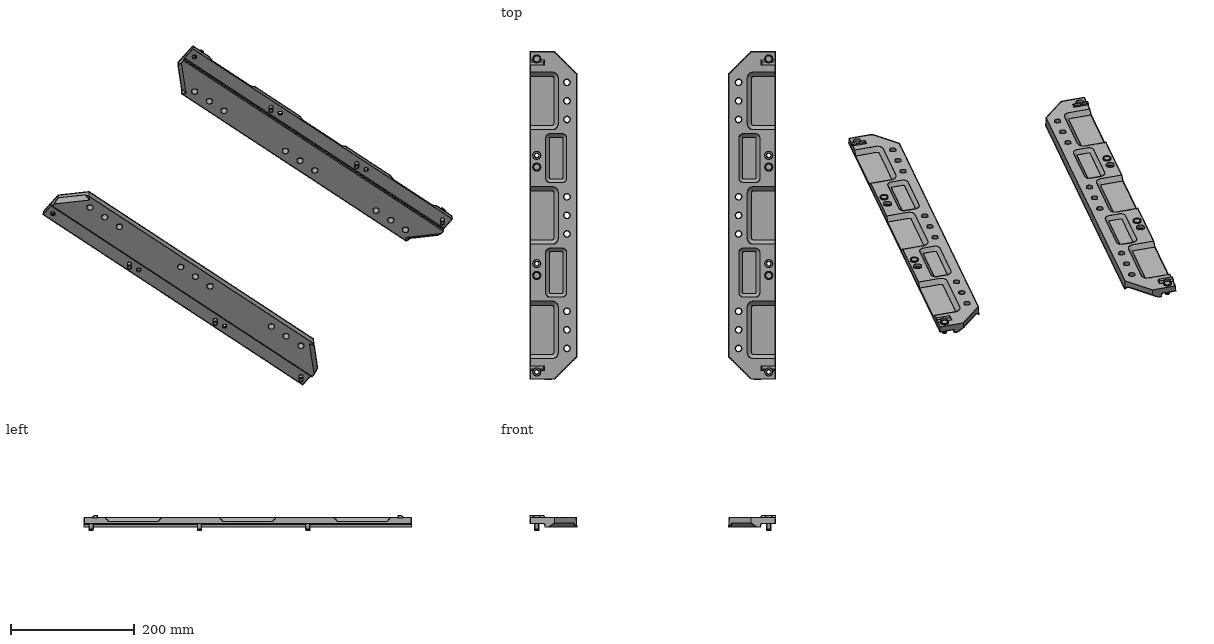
import cadquery as cq
import math


SPAN_X = 397.3
PLATE_LENGTH = 530.0
PLATE_WIDTH = 76.0
PLATE_THICKNESS = 16.0
CORNER_CUT = 36.0
SIDE_DRAFT = 3.0
OUTER_X = -SPAN_X / 2
INNER_X = OUTER_X + PLATE_WIDTH
HALF_LENGTH = PLATE_LENGTH / 2

FLANGE_WIDTH = 24.0
FLANGE_THICKNESS = 10.0
FLANGE_BOTTOM = PLATE_THICKNESS - FLANGE_THICKNESS
STEP_CHAMFER = 1.5
STEP_LEAN = 0.3

RELIEF_HEIGHT = 7.0
RELIEF_OVERLAP = 0.02

WALL_ANGLE = 45.0
PITCH = 185.0
OPEN_POCKET_DEPTH = 7.0
OPEN_POCKET_LENGTH = 93.0
OPEN_POCKET_REACH = 46.0
OPEN_POCKET_RADIUS = 10.0
CLOSED_POCKET_DEPTH = 6.0
CLOSED_POCKET_LENGTH = 79.5
CLOSED_POCKET_WIDTH = 34.0
CLOSED_POCKET_RADIUS = 8.0
CLOSED_POCKET_X = INNER_X - 33.5

MOUNT_HOLE_DIAMETER = 10.0
MOUNT_HOLE_PITCH = 30.0
MOUNT_HOLE_X = INNER_X - 16.0

SEAT_X = OUTER_X + 11.2
SEAT_PITCH = 175.0
SEAT_END_Y = 253.0
PIN_YS = [SEAT_END_Y - i * SEAT_PITCH for i in range(3)]
EMPTY_SEAT_YS = [-y for y in PIN_YS]
HEAD_DIAMETER = 13.0
HEAD_HEIGHT = 6.0
HEAD_CHAMFER = 1.5
SHANK_DIAMETER = 7.0
PIN_DROP = 5.0
TIP_LENGTH = 2.5
TIP_DIAMETER = 6.5

RIDGE_HEIGHT = 3.0
RIDGE_ROOT = 1.0
RIDGE_INNER_Y = 243.0
RIDGE_TOP_WIDTH = 5.0
RIDGE_FOOT_WIDTH = 8.0
RIDGE_FOOT_LENGTH = 24.0
RIDGE_END_SLOPE = 1.5


def tapered_pocket(x, y, size_x, size_y, radius, depth):
    """Cutter with a rounded rectangular mouth in the top face and sloping walls."""
    return (
        cq.Workplane("XY", origin=(x, y, PLATE_THICKNESS))
        .sketch()
        .rect(size_x, size_y)
        .vertices()
        .fillet(radius)
        .finalize()
        .extrude(-depth, taper=WALL_ANGLE)
    )


def blank():
    """Drafted plate with two cut corners and the step in its underside."""
    body = (
        cq.Workplane("XY")
        .moveTo(OUTER_X, -HALF_LENGTH)
        .lineTo(INNER_X - CORNER_CUT, -HALF_LENGTH)
        .lineTo(INNER_X, -HALF_LENGTH + CORNER_CUT)
        .lineTo(INNER_X, HALF_LENGTH - CORNER_CUT)
        .lineTo(INNER_X - CORNER_CUT, HALF_LENGTH)
        .lineTo(OUTER_X, HALF_LENGTH)
        .close()
        .extrude(PLATE_THICKNESS, taper=SIDE_DRAFT)
    )
    step_x = OUTER_X + FLANGE_WIDTH
    step = (
        cq.Workplane("XZ", origin=(0, HALF_LENGTH, 0))
        .moveTo(OUTER_X, 0)
        .lineTo(step_x + STEP_LEAN, 0)
        .lineTo(step_x, FLANGE_BOTTOM - STEP_CHAMFER)
        .lineTo(step_x - STEP_CHAMFER, FLANGE_BOTTOM)
        .lineTo(OUTER_X, FLANGE_BOTTOM)
        .close()
        .extrude(PLATE_LENGTH)
    )
    return body.cut(step)


def corner_relief(end):
    """Sloped relief under the cut corner at the +Y (end = 1) or -Y (end = -1) end."""
    edge_length = CORNER_CUT * math.sqrt(2)
    corner = cq.Vector(INNER_X, end * (HALF_LENGTH - CORNER_CUT), 0)
    along = cq.Vector(-1, end, 0)
    plane = cq.Plane(origin=corner, xDir=along, normal=(0, 0, 1))
    return (
        cq.Workplane(plane)
        .center(edge_length, 0)
        .rect(2 * edge_length, 2 * RELIEF_HEIGHT + RELIEF_OVERLAP)
        .extrude(RELIEF_HEIGHT, taper=WALL_ANGLE)
    )


def ridge(end):
    """Ridge with a sloped outward flank and a sloped inner end."""
    foot_y = RIDGE_INNER_Y + RIDGE_FOOT_WIDTH
    top_y = RIDGE_INNER_Y + RIDGE_TOP_WIDTH
    top_z = PLATE_THICKNESS + RIDGE_HEIGHT
    root_z = PLATE_THICKNESS - RIDGE_ROOT
    foot_x = OUTER_X + RIDGE_FOOT_LENGTH
    profile = (
        cq.Workplane("YZ", origin=(OUTER_X, 0, 0))
        .moveTo(end * RIDGE_INNER_Y, root_z)
        .lineTo(end * foot_y, root_z)
        .lineTo(end * foot_y, PLATE_THICKNESS)
        .lineTo(end * top_y, top_z)
        .lineTo(end * RIDGE_INNER_Y, top_z)
        .close()
        .extrude(RIDGE_FOOT_LENGTH)
    )
    end_slope = (
        cq.Workplane("XZ")
        .moveTo(foot_x, PLATE_THICKNESS)
        .lineTo(foot_x, top_z)
        .lineTo(foot_x - RIDGE_END_SLOPE, top_z)
        .close()
        .extrude(HALF_LENGTH, both=True)
    )
    return profile.cut(end_slope)


def seat(y):
    """Counterbored through hole, also clearing the ridge above it."""
    shoulder_z = PLATE_THICKNESS - HEAD_HEIGHT
    bore = cq.Workplane("XY", origin=(SEAT_X, y, 0)).circle(SHANK_DIAMETER / 2).extrude(PLATE_THICKNESS)
    recess = (
        cq.Workplane("XY", origin=(SEAT_X, y, shoulder_z))
        .circle(HEAD_DIAMETER / 2)
        .extrude(HEAD_HEIGHT + RIDGE_HEIGHT)
    )
    return bore.union(recess)


def mount_hole(y):
    """Plain through hole near the inner edge."""
    return (
        cq.Workplane("XY", origin=(MOUNT_HOLE_X, y, 0))
        .circle(MOUNT_HOLE_DIAMETER / 2)
        .extrude(PLATE_THICKNESS)
    )


def open_pocket(y):
    """Pocket centred on the outer edge, so that it runs out through that edge."""
    return tapered_pocket(
        OUTER_X,
        y,
        2 * OPEN_POCKET_REACH,
        OPEN_POCKET_LENGTH,
        OPEN_POCKET_RADIUS,
        OPEN_POCKET_DEPTH,
    )


def closed_pocket(y):
    """Pocket walled on all four sides."""
    return tapered_pocket(
        CLOSED_POCKET_X,
        y,
        CLOSED_POCKET_WIDTH,
        CLOSED_POCKET_LENGTH,
        CLOSED_POCKET_RADIUS,
        CLOSED_POCKET_DEPTH,
    )


def plate():
    """Left plate with its ridges, reliefs, pockets, mounting holes and seats."""
    body = blank()
    for end in (-1, 1):
        body = body.union(ridge(end)).cut(corner_relief(end))
    for group in (-1, 0, 1):
        group_y = group * PITCH
        body = body.cut(open_pocket(group_y))
        for i in (-1, 0, 1):
            body = body.cut(mount_hole(group_y + i * MOUNT_HOLE_PITCH))
    for side in (-1, 1):
        body = body.cut(closed_pocket(side * PITCH / 2))
    for y in PIN_YS + EMPTY_SEAT_YS:
        body = body.cut(seat(y))
    return body


def pin(y):
    """Pin with a chamfered head flush with the plate top and a slightly reduced tip."""
    head_r = HEAD_DIAMETER / 2
    shank_r = SHANK_DIAMETER / 2
    tip_r = TIP_DIAMETER / 2
    shoulder_z = PLATE_THICKNESS - HEAD_HEIGHT
    return (
        cq.Workplane("XZ", origin=(SEAT_X, y, 0))
        .moveTo(0, -PIN_DROP)
        .lineTo(tip_r, -PIN_DROP)
        .lineTo(tip_r, -PIN_DROP + TIP_LENGTH)
        .lineTo(shank_r, -PIN_DROP + TIP_LENGTH)
        .lineTo(shank_r, shoulder_z)
        .lineTo(head_r, shoulder_z)
        .lineTo(head_r, PLATE_THICKNESS - HEAD_CHAMFER)
        .lineTo(head_r - HEAD_CHAMFER, PLATE_THICKNESS)
        .lineTo(0, PLATE_THICKNESS)
        .close()
        .revolve(360, (0, 0, 0), (0, 1, 0))
    )


left_bodies = [plate()] + [pin(y) for y in PIN_YS]
right_bodies = [body.mirror("YZ") for body in left_bodies]
result = cq.Compound.makeCompound([body.val() for body in left_bodies + right_bodies])